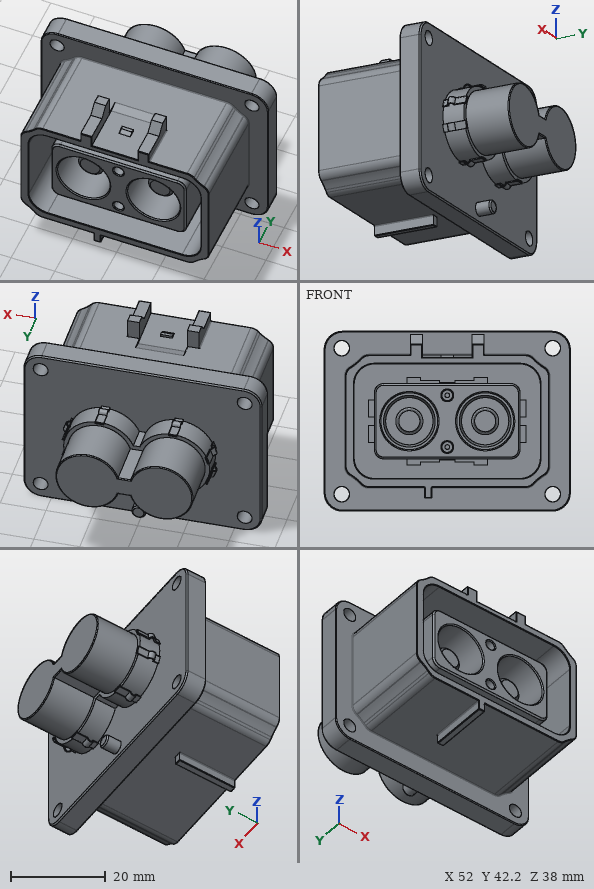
import cadquery as cq
import math


overlap = 0.5
tolerance = 0.005

flange_width = 52.0
flange_height = 38.0
flange_thickness = 5.0
flange_corner_radius = 3.9
flange_front_chamfer = 0.2
flange_rear_chamfer = 0.3
mount_hole_diameter = 3.2
mount_hole_pitch_x = 44.55
mount_hole_pitch_z = 30.85

total_length = 42.2
housing_length = 21.95
rear_end = total_length - housing_length

housing_half_width = 21.55
housing_half_height = 14.0
housing_edge = 0.15
root_fillet = 0.15
slope_top_x = 17.45
slope_bend_x = 19.4
slope_bend_z = 12.05
slope_bottom_z = 10.75
slope_end_radius = 2.25
slope_bend_radius = 9.6
cavity_width = 39.3
cavity_height = 24.2
cavity_corner_radius = 4.25

ear_inner_x = 5.25
ear_width = 2.55
ear_length = 9.7
ear_low_z = 16.3
ear_high_z = 18.3
ear_crest_length = 2.05
ear_slope_length = 2.05
recess_depth = 0.5
recess_length = 12.9
recess_ramp_length = 2.1
recess_floor_z = housing_half_height - recess_depth
catch_width = 2.55
catch_front_offset = 5.5
catch_ramp_length = 1.0
catch_length = 1.7
key_center_x = -4.0
key_width = 1.55
key_bottom_z = -16.3
key_length = 14.25

insert_width = 30.8
insert_height = 15.9
insert_corner_radius = 2.0
insert_edge_chamfer = 0.35
insert_setback = 2.1
insert_front = -housing_length + insert_setback

plate_thickness = 0.3
plate_notch_half_width = 1.6
plate_notch_half_height = 8.2
plate_web_half_height = 8.6
plate_tab_inner_x = 5.6
plate_tab_outer_x = 8.5
plate_tab_half_height = 9.25
side_tab_half_width = 16.65
side_tab_width = 3.6
side_tab_center_z = 2.7

pole_x = 8.0
socket_mouth_diameter = 12.55
socket_diameter = 12.0
socket_step_diameter = 10.9
socket_floor_diameter = 10.0
socket_step_y = -2.1
contact_diameter = 5.7
contact_shoulder_diameter = 5.0
contact_tip_diameter = 4.45
contact_bevel_length = 0.25
contact_tip_y = -16.15

pilot_z = 5.45
pilot_hole_diameter = 2.3
pilot_mouth_chamfer = 0.2
pilot_hole_depth = 7.8
pilot_pin_diameter = 1.0
pilot_pin_length = 5.2

barrel_diameter = 13.95
barrel_web_half_height = 2.15
barrel_end_chamfer = 0.2
collar_diameter = 15.85
collar_length = 5.0
collar_web_half_height = 3.1

spring_inner_radius = 8.05
spring_thickness = 0.25
spring_length = 5.5
spring_lip_depth = 0.2
spring_lip_thickness = 0.2
spring_bump_y = 2.0
spring_bump_outer_radius = 0.9
spring_bump_center_radius = 8.1
top_spring_width = 1.85
side_spring_width = 1.7
side_spring_angle = 20.0

peg_diameter = 3.0
peg_length = 3.55
peg_chamfer = 0.3
peg_z = -15.95


def at_y(y):
    """Workplane at the given Y, with local axes along +X and +Z; extruding by +d runs toward -Y."""
    return cq.Workplane("XZ", origin=(0, y, 0))


def block(x_range, y_range, z_range):
    """Axis-aligned box between pairs of limits."""
    sizes = [high - low for low, high in (x_range, y_range, z_range)]
    corner = (x_range[0], y_range[0], z_range[0])
    return cq.Workplane("XY").box(*sizes, centered=False).translate(corner)


def cylinder(x, z, diameter, y_start, y_end):
    """Cylinder along Y between two Y positions."""
    return at_y(y_end).center(x, z).circle(diameter / 2).extrude(y_end - y_start)


def side_prism(profile, x_start, width):
    """Prism along +X from a list of (y, z) points."""
    return cq.Workplane("YZ", origin=(x_start, 0, 0)).polyline(profile).close().extrude(width)


def revolved(profile, x):
    """Solid of revolution about the Y-parallel axis at x, from (radius, y) points."""
    return cq.Workplane("XY").polyline(profile).close().revolve(360, (0, 0), (0, 1)).translate((x, 0, 0))


def make_flange():
    flange = (
        at_y(flange_thickness)
        .rect(flange_width, flange_height)
        .extrude(flange_thickness)
        .edges("|Y")
        .fillet(flange_corner_radius)
    )
    flange = flange.faces("<Y").chamfer(flange_front_chamfer)
    return flange.faces(">Y").chamfer(flange_rear_chamfer)


def make_housing():
    """Open shell whose corners step in twice: a steep slope, then a shallow one to the side wall."""
    corners = []
    for sign_x, sign_z in ((1, 1), (1, -1), (-1, -1), (-1, 1)):
        points = [
            (sign_x * slope_top_x, sign_z * housing_half_height),
            (sign_x * slope_bend_x, sign_z * slope_bend_z),
            (sign_x * housing_half_width, sign_z * slope_bottom_z),
        ]
        corners += points if sign_x == sign_z else points[::-1]
    shell = at_y(0).polyline(corners).close().extrude(housing_length)

    def is_bend(edge):
        return math.isclose(abs(edge.Center().x), slope_bend_x)

    shell = shell.edges("|Y").filter(lambda edge: not is_bend(edge)).fillet(slope_end_radius)
    shell = shell.edges("|Y").filter(is_bend).fillet(slope_bend_radius)
    cavity = at_y(0).rect(cavity_width, cavity_height).extrude(housing_length)
    cavity = cavity.edges("|Y").fillet(cavity_corner_radius)
    return shell.cut(cavity)


def make_body():
    """Flange with mounting holes and housing, with a small fillet where the housing meets the flange."""
    body = make_flange().union(make_housing())
    root_zone = cq.selectors.BoxSelector(
        (-housing_half_width - overlap, -tolerance, -housing_half_height - overlap),
        (housing_half_width + overlap, tolerance, housing_half_height + overlap),
    )

    def is_outside_cavity(edge):
        center = edge.Center()
        return abs(center.x) > cavity_width / 2 + tolerance or abs(center.z) > cavity_height / 2 + tolerance

    body = body.edges(root_zone).filter(is_outside_cavity).fillet(root_fillet)
    hole_frame = at_y(flange_thickness).rect(mount_hole_pitch_x, mount_hole_pitch_z, forConstruction=True)
    holes = hole_frame.vertices()
    return body.cut(holes.circle(mount_hole_diameter / 2).extrude(flange_thickness))


def make_latch_ear(x_start):
    """Rail along the latch recess with a raised crest at its rear."""
    crest_y = -housing_length + ear_length
    slope_top_y = crest_y - ear_crest_length
    slope_bottom_y = slope_top_y - ear_slope_length
    profile = [
        (crest_y, recess_floor_z),
        (crest_y, ear_high_z),
        (slope_top_y, ear_high_z),
        (slope_bottom_y, ear_low_z),
        (-housing_length, ear_low_z),
        (-housing_length, recess_floor_z),
    ]
    return side_prism(profile, x_start, ear_width)


def make_latch_recess():
    """Shallow recess between the ears, running out to the front and ramping up at its rear."""
    ramp_top_y = -housing_length + recess_length
    profile = [
        (-housing_length, housing_half_height),
        (ramp_top_y, housing_half_height),
        (ramp_top_y - recess_ramp_length, recess_floor_z),
        (-housing_length, recess_floor_z),
    ]
    return side_prism(profile, -ear_inner_x, 2 * ear_inner_x)


def make_catch():
    """Small wedge in the latch recess, sloping down toward the mating end."""
    front_y = -housing_length + catch_front_offset
    profile = [
        (front_y, recess_floor_z),
        (front_y + catch_ramp_length, housing_half_height),
        (front_y + catch_length, housing_half_height),
        (front_y + catch_length, recess_floor_z),
    ]
    return side_prism(profile, -catch_width / 2, catch_width)


def make_key():
    key = block(
        (key_center_x - key_width / 2, key_center_x + key_width / 2),
        (-housing_length, -housing_length + key_length),
        (key_bottom_z, -housing_half_height + overlap),
    )
    return key.faces("<Z").edges("not <Y").chamfer(housing_edge)


def is_outer_root(edge):
    """True for edges where a key side or an outer ear side meets the housing wall."""
    center = edge.Center()
    ear_outer_x = ear_inner_x + ear_width
    at_ear = math.isclose(center.z, housing_half_height) and math.isclose(abs(center.x), ear_outer_x)
    at_key = math.isclose(center.z, -housing_half_height) and math.isclose(
        abs(center.x - key_center_x), key_width / 2
    )
    return at_ear or at_key


def make_insert():
    insert = at_y(overlap).rect(insert_width, insert_height).extrude(overlap - insert_front)
    return insert.edges("|Y").fillet(insert_corner_radius).faces("<Y").chamfer(insert_edge_chamfer)


def make_retaining_plate():
    """Thin stepped plate on the cavity floor, showing around the insert."""
    y_range = (-plate_thickness, overlap)

    def tier(half_width, half_height):
        return block((-half_width, half_width), y_range, (-half_height, half_height))

    plate = tier(plate_tab_outer_x, plate_tab_half_height).cut(tier(plate_tab_inner_x, plate_tab_half_height))
    plate = plate.union(tier(plate_tab_inner_x, plate_web_half_height))
    for side in (-1, 1):
        notch_z = sorted((side * plate_notch_half_height, side * plate_web_half_height))
        plate = plate.cut(block((-plate_notch_half_width, plate_notch_half_width), y_range, notch_z))
        center_z = side * side_tab_center_z
        tab_z = (center_z - side_tab_width / 2, center_z + side_tab_width / 2)
        plate = plate.union(block((-side_tab_half_width, side_tab_half_width), y_range, tab_z))
    return plate


def make_socket(x):
    """Socket bore: chamfered mouth, straight wall, then a step to a tapered bottom at the flange face."""
    mouth_chamfer = (socket_mouth_diameter - socket_diameter) / 2
    profile = [
        (0, 0),
        (socket_floor_diameter / 2, 0),
        (socket_step_diameter / 2, socket_step_y),
        (socket_diameter / 2, socket_step_y),
        (socket_diameter / 2, insert_front + mouth_chamfer),
        (socket_mouth_diameter / 2, insert_front),
        (0, insert_front),
    ]
    return revolved(profile, x)


def make_contact(x):
    """Contact pin with a tip bevelled in two steps."""
    profile = [
        (0, overlap),
        (contact_diameter / 2, overlap),
        (contact_diameter / 2, contact_tip_y + 2 * contact_bevel_length),
        (contact_shoulder_diameter / 2, contact_tip_y + contact_bevel_length),
        (contact_tip_diameter / 2, contact_tip_y),
        (0, contact_tip_y),
    ]
    return revolved(profile, x)


def make_pilot_hole(z):
    hole = cylinder(0, z, pilot_hole_diameter, insert_front, insert_front + pilot_hole_depth)
    mouth_radius = pilot_hole_diameter / 2 + pilot_mouth_chamfer
    mouth = cq.Solid.makeCone(
        mouth_radius,
        pilot_hole_diameter / 2,
        pilot_mouth_chamfer,
        cq.Vector(0, insert_front, z),
        cq.Vector(0, 1, 0),
    )
    return hole.union(cq.Workplane(mouth))


def make_pilot_pin(z):
    pin_root = insert_front + pilot_hole_depth
    return cylinder(0, z, pilot_pin_diameter, pin_root - pilot_pin_length, pin_root + overlap)


def make_twin_barrel(diameter, web_half_height, end_y):
    """Pair of cylinders behind the flange, joined by a flat web."""
    start_y = flange_thickness - overlap
    web = block((-pole_x, pole_x), (start_y, end_y), (-web_half_height, web_half_height))
    for x in (-pole_x, pole_x):
        web = web.union(cylinder(x, 0, diameter, start_y, end_y))
    return web


def make_spring(width):
    """Grounding spring over the top of a collar whose axis passes through x = z = 0."""
    base_y = flange_thickness
    end_y = base_y + spring_length
    bump_y = base_y + spring_bump_y
    inner_z = spring_inner_radius
    outer_z = inner_z + spring_thickness
    lip_z = inner_z - spring_lip_depth
    bump_inner_radius = spring_bump_outer_radius - spring_thickness
    half_width = width / 2

    def disc(radius):
        center = (-half_width, bump_y, spring_bump_center_radius)
        return cq.Workplane("YZ", origin=center).circle(radius).extrude(width)

    strip = block((-half_width, half_width), (base_y - overlap, end_y), (inner_z, outer_z))
    lip = block((-half_width, half_width), (end_y - spring_lip_thickness, end_y), (lip_z, outer_z))
    upper_half = block(
        (-half_width, half_width),
        (base_y, end_y),
        (inner_z, inner_z + 2 * spring_bump_outer_radius),
    )
    bump = disc(spring_bump_outer_radius).intersect(upper_half)
    return strip.union(lip).union(bump).cut(disc(bump_inner_radius))


def make_springs():
    """Springs above, below and on the outer side of each collar."""
    top_spring = make_spring(top_spring_width)
    side_spring = make_spring(side_spring_width)
    springs = []
    for side in (-1, 1):
        placed = [(top_spring, 0), (top_spring, 180)]
        placed += [(side_spring, side * 90 + tilt) for tilt in (-side_spring_angle, side_spring_angle)]
        for spring, angle in placed:
            turned = spring.rotate((0, 0, 0), (0, 1, 0), angle)
            springs.append(turned.translate((side * pole_x, 0, 0)))
    return springs


def make_peg():
    peg_end = flange_thickness + peg_length
    peg = cylinder(0, peg_z, peg_diameter, flange_thickness - overlap, peg_end)
    return peg.faces(">Y").chamfer(peg_chamfer)


result = make_body().cut(make_latch_recess()).union(make_catch()).union(make_key())
for ear_start in (-ear_inner_x - ear_width, ear_inner_x):
    result = result.union(make_latch_ear(ear_start))
result = result.edges("|Y").filter(is_outer_root).fillet(root_fillet)
result = result.faces("<Y").chamfer(housing_edge)

result = result.union(make_retaining_plate()).union(make_insert())
for pole in (-pole_x, pole_x):
    result = result.cut(make_socket(pole)).union(make_contact(pole))
for height in (-pilot_z, pilot_z):
    result = result.cut(make_pilot_hole(height)).union(make_pilot_pin(height))

barrels = make_twin_barrel(barrel_diameter, barrel_web_half_height, rear_end)
result = result.union(barrels.faces(">Y").chamfer(barrel_end_chamfer))
collar_end = flange_thickness + collar_length
result = result.union(make_twin_barrel(collar_diameter, collar_web_half_height, collar_end))
for grounding_spring in make_springs():
    result = result.union(grounding_spring)
result = result.union(make_peg())